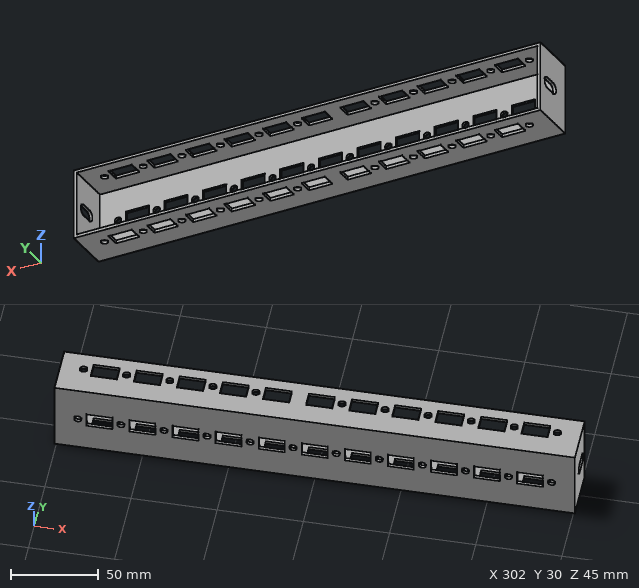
import cadquery as cq

length = 302.0
depth = 30.0
height = 45.0
wall = 2.0

row_span = 274.8
window_count = 11
pitch = row_span / window_count
window_length = 15.0
window_width = 9.0
screw_diameter = 4.2

row_setback = 16.0
top_row_y = wall + row_setback
front_row_z = height / 2

slot_length = 14.0
slot_height = 7.0


def row_positions(count):
    """X positions of a row centred on the length of the box."""
    return [length / 2 + (i - (count - 1) / 2) * pitch for i in range(count)]


window_x = row_positions(window_count)
screw_x = row_positions(window_count + 1)

middle_window = window_count // 2
top_screw_x = screw_x[:middle_window] + screw_x[middle_window + 1:]


def make_shell():
    outer = cq.Workplane("XY").box(length, depth, height, centered=False)
    cavity = (
        cq.Workplane("XY")
        .box(length - 2 * wall, depth - wall, height - 2 * wall, centered=False)
        .translate((wall, wall, wall))
    )
    return outer.cut(cavity)


def cut_row(body, plane, across, screw_positions, reach):
    """Cut a row of windows and screw holes, reaching from the plane along its normal."""
    windows = (
        cq.Workplane(plane)
        .pushPoints([(x, across) for x in window_x])
        .rect(window_length, window_width)
        .extrude(reach)
    )
    screws = (
        cq.Workplane(plane)
        .pushPoints([(x, across) for x in screw_positions])
        .circle(screw_diameter / 2)
        .extrude(reach)
    )
    return body.cut(windows).cut(screws)


def cut_end_slots(body):
    """Cut the round-ended cable slot through both end walls."""
    slot = (
        cq.Workplane("YZ")
        .center(top_row_y, front_row_z)
        .slot2D(slot_length, slot_height)
        .extrude(length)
    )
    return body.cut(slot)


body = make_shell()
body = cut_row(body, "XZ", front_row_z, screw_x, -wall)
body = cut_row(body, "XY", top_row_y, top_screw_x, height)
result = cut_end_slots(body)